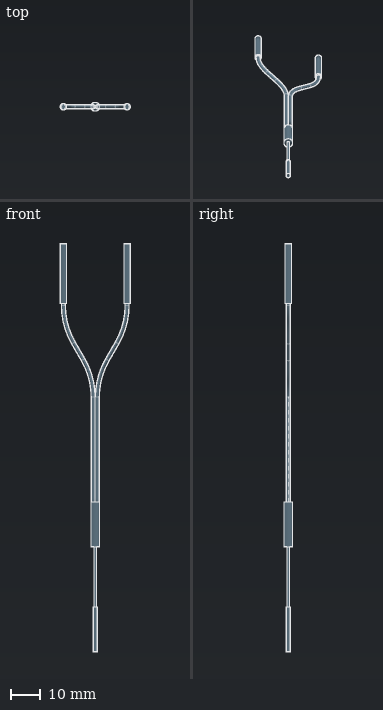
import cadquery as cq
import math

OVERALL_HEIGHT = 136.22
OVERALL_WIDTH = 23.46

TIP_DIAMETER = 1.5
TIP_LENGTH = 15.0
STEM_DIAMETER = 1.0
STEM_LENGTH = 20.0
SLEEVE_DIAMETER = 3.0
SLEEVE_LENGTH = 15.0

WIRE_DIAMETER = 1.4
PAIR_LENGTH = 35.0

BEND_RADIUS = 25.0
BEND_ANGLE = math.radians(30.0)

FERRULE_DIAMETER = 2.2
FERRULE_LENGTH = 20.0

stem_bottom = TIP_LENGTH
sleeve_bottom = stem_bottom + STEM_LENGTH
pair_bottom = sleeve_bottom + SLEEVE_LENGTH
branch_bottom = pair_bottom + PAIR_LENGTH
ferrule_bottom = OVERALL_HEIGHT - FERRULE_LENGTH
wire_x = WIRE_DIAMETER / 2
ferrule_x = (OVERALL_WIDTH - FERRULE_DIAMETER) / 2


def rod(diameter, length, bottom, x=0.0):
    """Vertical cylinder standing at the given X and bottom Z."""
    return cq.Workplane("XY", origin=(x, 0, bottom)).circle(diameter / 2).extrude(length)


def branch_path(side):
    """Centreline of one branch: bend out, slanted run, bend back to vertical, short stub."""
    rise = BEND_RADIUS * math.sin(BEND_ANGLE)
    shift = BEND_RADIUS * (1 - math.cos(BEND_ANGLE))
    half_rise = BEND_RADIUS * math.sin(BEND_ANGLE / 2)
    half_shift = BEND_RADIUS * (1 - math.cos(BEND_ANGLE / 2))
    run_shift = ferrule_x - wire_x - 2 * shift
    run_rise = run_shift / math.tan(BEND_ANGLE)
    upper_bend_top = branch_bottom + 2 * rise + run_rise
    return (
        cq.Workplane("XZ")
        .moveTo(side * wire_x, branch_bottom)
        .threePointArc(
            (side * (wire_x + half_shift), branch_bottom + half_rise),
            (side * (wire_x + shift), branch_bottom + rise),
        )
        .lineTo(side * (ferrule_x - shift), upper_bend_top - rise)
        .threePointArc(
            (side * (ferrule_x - half_shift), upper_bend_top - half_rise),
            (side * ferrule_x, upper_bend_top),
        )
        .lineTo(side * ferrule_x, ferrule_bottom)
    )


def branch(side):
    """Wire from the sleeve to its ferrule, on the side given by the sign of X."""
    wire = rod(WIRE_DIAMETER, PAIR_LENGTH, pair_bottom, side * wire_x)
    bent_wire = (
        cq.Workplane("XY", origin=(side * wire_x, 0, branch_bottom))
        .circle(WIRE_DIAMETER / 2)
        .sweep(branch_path(side))
    )
    ferrule = rod(FERRULE_DIAMETER, FERRULE_LENGTH, ferrule_bottom, side * ferrule_x)
    return wire.union(bent_wire).union(ferrule)


tip = rod(TIP_DIAMETER, TIP_LENGTH, 0)
stem = rod(STEM_DIAMETER, STEM_LENGTH, stem_bottom)
sleeve = rod(SLEEVE_DIAMETER, SLEEVE_LENGTH, sleeve_bottom)
result = tip.union(stem).union(sleeve).union(branch(-1)).union(branch(1))